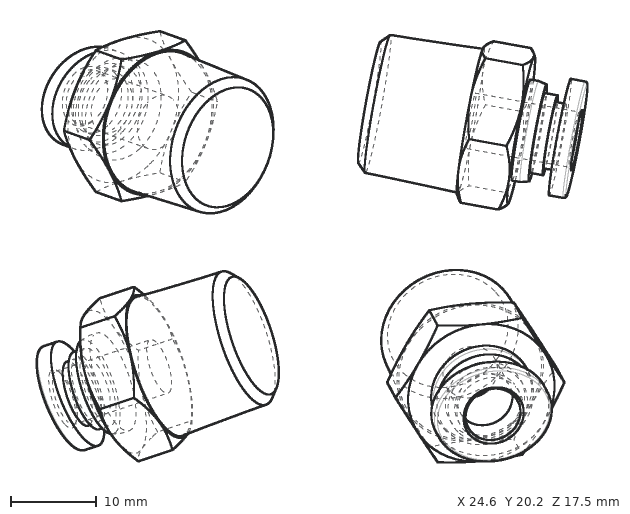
import cadquery as cq
import math


total_length = 24.6
flange_thickness = 2.0
guide_start = 3.15
collar_start = 4.62
collar_cone_end = 5.6
hex_start = 6.6
hex_end = 12.6
thread_chamfer = 0.98

flange_width = 14.02
flange_height = 11.93
flange_edge_radius = 0.3
neck_diameter = 7.9
guide_diameter = 9.5
sleeve_end = collar_start
tube_bore_end = hex_end
tube_bore_diameter = 6.55
bore_chamfer = 0.32

collar_diameter = 12.0
collar_face_diameter = 11.51
hex_across_flats = 17.5
hex_across_corners = hex_across_flats / math.cos(math.radians(30))
hex_chamfer_angle = 30.0
thread_large_diameter = 17.07
thread_small_diameter = 16.38
thread_end_diameter = thread_small_diameter - 2 * thread_chamfer


def cross_section(x):
    """Workplane across the axis at x, its local X along Y and local Y along Z."""
    return cq.Workplane("YZ", origin=(x, 0, 0))


def cylinder(diameter, start, end):
    return cross_section(start).circle(diameter / 2).extrude(end - start)


def revolved(points):
    """Solid of revolution about the X axis from an (axial, radial) outline."""
    return cq.Workplane("XY").polyline(points).close().revolve(360, (0, 0, 0), (1, 0, 0))


def make_sleeve():
    flange = cross_section(0).ellipse(flange_width / 2, flange_height / 2).extrude(flange_thickness)
    flange = flange.faces("<X").edges().fillet(flange_edge_radius)

    neck = cylinder(neck_diameter, flange_thickness, guide_start)
    guide = cylinder(guide_diameter, guide_start, sleeve_end)
    sleeve = flange.union(neck).union(guide)

    bore_radius = tube_bore_diameter / 2
    bore = revolved([
        (0, 0),
        (0, bore_radius + bore_chamfer),
        (bore_chamfer, bore_radius),
        (sleeve_end, bore_radius),
        (sleeve_end, 0),
    ])
    return sleeve.cut(bore)


def make_hex():
    prism = cross_section(hex_start).polygon(6, hex_across_corners).extrude(hex_end - hex_start)

    flat_radius = hex_across_flats / 2
    corner_radius = hex_across_corners / 2
    chamfer_depth = (corner_radius - flat_radius) * math.tan(math.radians(hex_chamfer_angle))
    trimming_cone = revolved([
        (hex_start, 0),
        (hex_start, flat_radius),
        (hex_start + chamfer_depth, corner_radius),
        (hex_end - chamfer_depth, corner_radius),
        (hex_end, flat_radius),
        (hex_end, 0),
    ])
    return prism.intersect(trimming_cone)


def make_body():
    collar = revolved([
        (collar_start, 0),
        (collar_start, collar_face_diameter / 2),
        (collar_cone_end, collar_diameter / 2),
        (hex_start, collar_diameter / 2),
        (hex_start, 0),
    ])

    thread = revolved([
        (hex_end, 0),
        (hex_end, thread_large_diameter / 2),
        (total_length - thread_chamfer, thread_small_diameter / 2),
        (total_length, thread_end_diameter / 2),
        (total_length, 0),
    ])

    socket = cylinder(tube_bore_diameter, collar_start, tube_bore_end)
    return make_hex().union(collar).union(thread).cut(socket)


sleeve = make_sleeve().solids()
body = make_body().solids()

result = cq.Compound.makeCompound([sleeve.val(), body.val()])